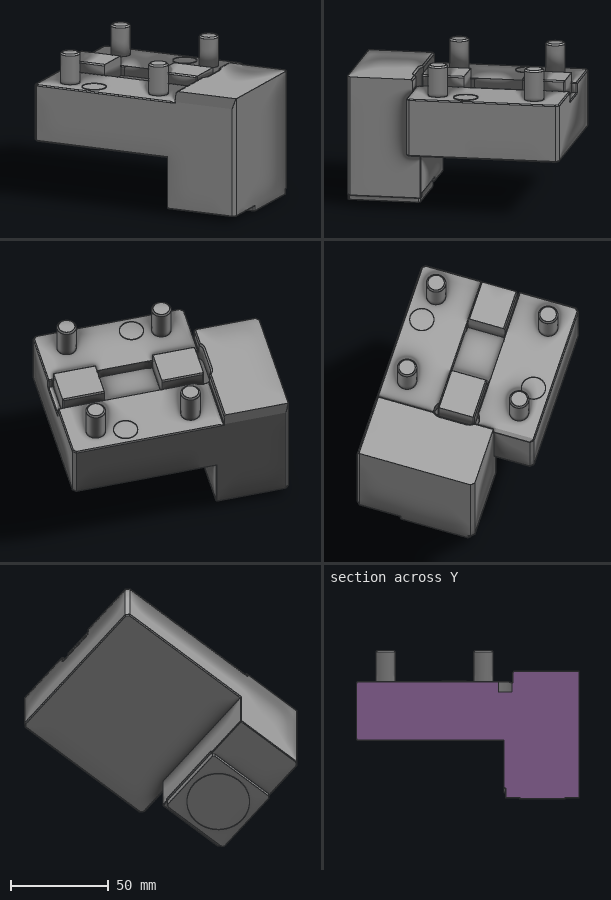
import cadquery as cq

PART_LENGTH = 114.0
PART_WIDTH = 84.0
PIN_TOP_Z = 76.0
TOP_Z = 60.0
CENTER_Y = PART_WIDTH / 2

BODY_LENGTH = 79.5
BODY_HEIGHT = 30.0
CORNER_CHAMFER = 1.7
EDGE_CHAMFER = 0.6
CENTER_X = 40.0

LEG_START_X = 75.5
LEG_WIDTH = 63.0
LEG_BOTTOM_Z = 3.0
LEG_TOP_Z = 65.4
SLOPE_RUN = 1.5
LEG_EDGE_CHAMFER = 0.4
STEP_GAP = 0.5
STEP_X = BODY_LENGTH + STEP_GAP
STEP_CHAMFER_X = 0.7
STEP_CHAMFER_Z = 0.9

SLOPE_START_X = 77.3
SLOPE_DROP = 0.5

SLOT_WIDTH = 20.0
SLOT_DEPTH = 5.2
SLOT_FLOOR_Z = TOP_Z - SLOT_DEPTH
SLOT_CHAMFER = 0.5
RELIEF_WIDTH = SLOT_WIDTH + 2 * SLOT_CHAMFER
RELIEF_LENGTH = 35.4
RELIEF_RADIUS = 7.0
END_RELIEF_WIDTH = 24.0
END_RELIEF_LENGTH = 10.6
END_RELIEF_RADIUS = 5.0
END_RELIEF_X = 81.4
RIM_CHAMFER = 0.9
RIM_ANGLE = 45.0

KEY_LENGTH = 22.0
KEY_WIDTH = 19.6
KEY_SPAN = 74.4
KEY_TOP_Z = 65.4
KEY_CHAMFER = 0.7

PIN_DIAMETER = 10.0
PIN_SPACING_X = 50.0
PIN_SPACING_Y = 60.0
PIN_CHAMFER = 0.8
PAD_DIAMETER = 12.4
PAD_HEIGHT = 0.3
PAD_OFFSET_X = 10.0
PAD_OFFSET_Y = 33.0

PLATE_SIZE = 37.6
PLATE_START_X = 76.4
PLATE_BOTTOM_Z = 0.5
PLATE_TOP_Z = 5.4
PLATE_CORNER_CHAMFER = 0.9
FOOT_DIAMETER = 32.0
NOTCH_WIDTH = PLATE_SIZE - 2 * PLATE_CORNER_CHAMFER


def box(x_range, y_range, z_range):
    """Axis-aligned box from the lower and upper limit on each axis."""
    (x0, x1), (y0, y1), (z0, z1) = x_range, y_range, z_range
    return cq.Workplane("XY").box(x1 - x0, y1 - y0, z1 - z0, centered=False).translate((x0, y0, z0))


def centered_span(width):
    """Y limits of a feature centered across the part."""
    return CENTER_Y - width / 2, CENTER_Y + width / 2


def xz_prism(points, y_range):
    """Prism with an outline in the XZ plane, extruded along Y."""
    y0, y1 = y_range
    return cq.Workplane("XZ", origin=(0, y0, 0)).polyline(points).close().extrude(y0 - y1)


def make_body():
    body = box((0, BODY_LENGTH), (0, PART_WIDTH), (TOP_Z - BODY_HEIGHT, TOP_Z))
    rim_slope = xz_prism(
        [(SLOPE_START_X, TOP_Z), (BODY_LENGTH, TOP_Z), (BODY_LENGTH, TOP_Z - SLOPE_DROP)],
        (0, PART_WIDTH),
    )
    body = body.edges("|Z and (<X or >Y)").chamfer(CORNER_CHAMFER)
    body = body.faces("<Z or >Z").chamfer(EDGE_CHAMFER)
    return body.cut(rim_slope)


def make_leg():
    y_range = (0, LEG_WIDTH)
    column = box((LEG_START_X, PART_LENGTH), y_range, (LEG_BOTTOM_Z, LEG_TOP_Z))
    column = column.edges("|Z and >X").chamfer(CORNER_CHAMFER)
    column = column.edges("|Z and <X").chamfer(LEG_EDGE_CHAMFER)
    column = column.faces("<Z").chamfer(LEG_EDGE_CHAMFER)
    step_clearance = xz_prism(
        [
            (LEG_START_X, LEG_TOP_Z),
            (LEG_START_X, TOP_Z - BODY_HEIGHT / 2),
            (BODY_LENGTH, TOP_Z - BODY_HEIGHT / 2),
            (BODY_LENGTH, TOP_Z - SLOPE_DROP),
            (STEP_X, TOP_Z - SLOPE_DROP),
            (STEP_X, LEG_TOP_Z - STEP_CHAMFER_Z),
            (STEP_X + STEP_CHAMFER_X, LEG_TOP_Z),
        ],
        y_range,
    )
    front_slope = (
        cq.Workplane("YZ", origin=(LEG_START_X, 0, 0))
        .polyline([(0, TOP_Z), (0, LEG_TOP_Z), (SLOPE_RUN, LEG_TOP_Z)])
        .close()
        .extrude(PART_LENGTH - LEG_START_X)
    )
    return column.cut(step_clearance).cut(front_slope)


def cut_keyway(part):
    """Keyway with chamfered rims and a wider middle stretch."""
    slot = box((0, BODY_LENGTH), centered_span(SLOT_WIDTH), (SLOT_FLOOR_Z, TOP_Z))
    half_slot = SLOT_WIDTH / 2
    slot_chamfer = (
        cq.Workplane("YZ")
        .polyline(
            [
                (CENTER_Y - half_slot, TOP_Z - SLOT_CHAMFER),
                (CENTER_Y - half_slot - SLOT_CHAMFER, TOP_Z),
                (CENTER_Y + half_slot + SLOT_CHAMFER, TOP_Z),
                (CENTER_Y + half_slot, TOP_Z - SLOT_CHAMFER),
            ]
        )
        .close()
        .extrude(END_RELIEF_X - END_RELIEF_RADIUS)
    )
    relief = (
        box(
            (CENTER_X - RELIEF_LENGTH / 2, CENTER_X + RELIEF_LENGTH / 2),
            centered_span(RELIEF_WIDTH),
            (SLOT_FLOOR_Z, TOP_Z),
        )
        .edges("|Z")
        .fillet(RELIEF_RADIUS)
    )
    floor_lip = xz_prism(
        [(0, SLOT_FLOOR_Z), (SLOT_CHAMFER, SLOT_FLOOR_Z), (0, SLOT_FLOOR_Z - SLOT_CHAMFER)],
        centered_span(SLOT_WIDTH),
    )
    entry_chamfer = (
        cq.Workplane("XY", origin=(0, 0, SLOT_FLOOR_Z))
        .polyline(
            [
                (0, CENTER_Y - half_slot - SLOT_CHAMFER),
                (SLOT_CHAMFER, CENTER_Y - half_slot),
                (SLOT_CHAMFER, CENTER_Y + half_slot),
                (0, CENTER_Y + half_slot + SLOT_CHAMFER),
            ]
        )
        .close()
        .extrude(SLOT_DEPTH)
    )
    for cutter in (slot, slot_chamfer, relief, entry_chamfer, floor_lip):
        part = part.cut(cutter)
    return part


def cut_end_relief(part):
    """Rounded relief biting into the step, with a chamfer along its upper rim."""
    center_x = END_RELIEF_X - END_RELIEF_LENGTH / 2

    def rounded_outline(z, growth):
        """Workplane at height z holding the relief outline, grown outward."""
        outline = (
            cq.Sketch()
            .rect(END_RELIEF_LENGTH + 2 * growth, END_RELIEF_WIDTH + 2 * growth)
            .vertices()
            .fillet(END_RELIEF_RADIUS + growth)
        )
        return cq.Workplane("XY", origin=(center_x, CENTER_Y, z)).placeSketch(outline)

    relief = rounded_outline(SLOT_FLOOR_Z, 0).extrude(LEG_TOP_Z - SLOT_FLOOR_Z)
    rim = rounded_outline(LEG_TOP_Z, RIM_CHAMFER).extrude(-RIM_CHAMFER, taper=RIM_ANGLE)
    return part.cut(relief).cut(rim)


def make_keys():
    outer_start = CENTER_X - KEY_SPAN / 2
    key = box(
        (outer_start, outer_start + KEY_LENGTH),
        centered_span(KEY_WIDTH),
        (SLOT_FLOOR_Z, KEY_TOP_Z),
    )
    key = key.edges("(|Z and <X) or (|X and >Z)").chamfer(KEY_CHAMFER)
    return key.union(key.mirror("YZ", (CENTER_X, 0, 0)))


def make_pins():
    return (
        cq.Workplane("XY", origin=(CENTER_X, CENTER_Y, TOP_Z))
        .rarray(PIN_SPACING_X, PIN_SPACING_Y, 2, 2)
        .circle(PIN_DIAMETER / 2)
        .extrude(PIN_TOP_Z - TOP_Z)
        .faces(">Z")
        .chamfer(PIN_CHAMFER)
    )


def make_pads():
    return (
        cq.Workplane("XY", origin=(CENTER_X, CENTER_Y, TOP_Z))
        .pushPoints([(PAD_OFFSET_X, PAD_OFFSET_Y), (-PAD_OFFSET_X, -PAD_OFFSET_Y)])
        .circle(PAD_DIAMETER / 2)
        .extrude(PAD_HEIGHT)
    )


def add_bottom_plate(part):
    plate = box(
        (PLATE_START_X, PLATE_START_X + PLATE_SIZE),
        centered_span(PLATE_SIZE),
        (PLATE_BOTTOM_Z, PLATE_TOP_Z),
    )
    plate = plate.edges("|Z").chamfer(PLATE_CORNER_CHAMFER)
    foot = (
        cq.Workplane("XY", origin=(PLATE_START_X + PLATE_SIZE / 2, CENTER_Y, 0))
        .circle(FOOT_DIAMETER / 2)
        .extrude(PLATE_BOTTOM_Z)
    )
    notch = box(
        (LEG_START_X, PLATE_START_X),
        centered_span(NOTCH_WIDTH),
        (LEG_BOTTOM_Z, PLATE_TOP_Z),
    )
    return part.cut(notch).union(plate).union(foot)


result = make_body().union(make_leg())
result = cut_keyway(result)
result = cut_end_relief(result)
result = result.union(make_keys()).union(make_pins()).union(make_pads())
result = add_bottom_plate(result)